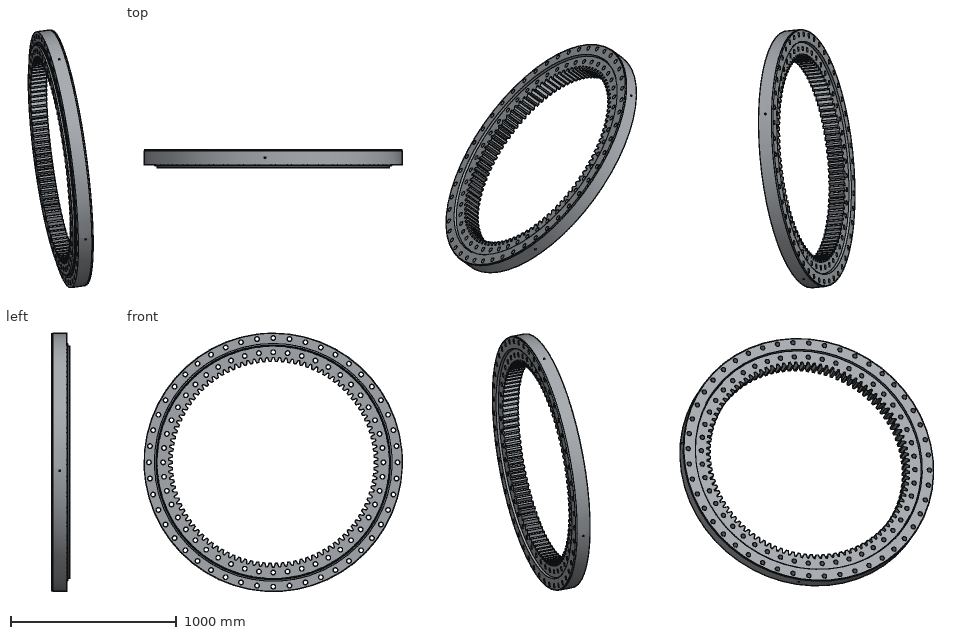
import cadquery as cq
import math

total_depth = 110.0
outer_front = 19.0
gear_depth = 97.0

outer_radius = 780.0
outer_bore = 707.0
rear_band_width = 10.0
rear_band_step = 3.0

gear_outer_radius = 702.0
tooth_count = 102
tip_radius = 608.0
root_radius = 632.0
gap_share_at_tip = 0.66
gap_share_at_root = 0.23

bolt_count = 48
bolt_hole_diameter = 27.0
outer_bolt_radius = 750.0
inner_bolt_radius = 665.0

grease_hole_count = 4
grease_hole_diameter = 10.0
grease_hole_y = 62.0
grease_hole_overrun = 15.0
grease_hole_offset = 180 / bolt_count

seal_outer_radius = 718.0
seal_tip_radius = 708.0
seal_front = 11.0
seal_shoulder = 14.0
seal_back = 27.0


def polar(radius, degrees):
    """Point in the XZ plane at a radius and an angle from +X towards +Z."""
    angle = math.radians(degrees)
    return radius * math.cos(angle), radius * math.sin(angle)


def front_plane():
    """Sketch plane at Y = 0 with local axes X and Z; negative distances extrude towards +Y."""
    return cq.Workplane("XZ")


def revolved(profile):
    """Ring about the Y axis from (y, radius) points."""
    return cq.Workplane("YZ").polyline(profile).close().revolve(360, (0, 0, 0), (1, 0, 0))


def bolt_holes(circle_radius):
    """Cutter for one circle of through holes."""
    return (
        front_plane()
        .polarArray(circle_radius, 0, 360, bolt_count)
        .circle(bolt_hole_diameter / 2)
        .extrude(-total_depth)
    )


def grease_hole(index):
    """Radial cutter through the wall of the outer ring, near its mid depth."""
    x, z = polar(1, grease_hole_offset + index * 360 / grease_hole_count)
    start = cq.Vector(x * gear_outer_radius, grease_hole_y, z * gear_outer_radius)
    length = outer_radius - gear_outer_radius + grease_hole_overrun
    return cq.Solid.makeCylinder(grease_hole_diameter / 2, length, start, cq.Vector(x, 0, z))


def make_outer_ring():
    band_radius = outer_radius - rear_band_step
    band_front = total_depth - rear_band_width
    ring = revolved(
        [
            (outer_front, seal_outer_radius),
            (outer_front, outer_radius),
            (band_front, outer_radius),
            (band_front, band_radius),
            (total_depth, band_radius),
            (total_depth, outer_bore),
            (seal_back, outer_bore),
            (seal_back, seal_outer_radius),
        ]
    )
    ring = ring.cut(bolt_holes(outer_bolt_radius))
    for index in range(grease_hole_count):
        ring = ring.cut(cq.Workplane(grease_hole(index)))
    return ring


def tooth_outline():
    """Closed gear bore outline; a tooth is centred on +X."""
    pitch = 360 / tooth_count
    half_tip = pitch * (1 - gap_share_at_tip) / 2
    half_gap = pitch * gap_share_at_root / 2
    outline = front_plane().moveTo(*polar(tip_radius, -half_tip))
    for tooth in range(tooth_count):
        centre = tooth * pitch
        gap_centre = centre + pitch / 2
        outline = (
            outline.threePointArc(polar(tip_radius, centre), polar(tip_radius, centre + half_tip))
            .lineTo(*polar(root_radius, gap_centre - half_gap))
            .threePointArc(polar(root_radius, gap_centre), polar(root_radius, gap_centre + half_gap))
            .lineTo(*polar(tip_radius, centre + pitch - half_tip))
        )
    return outline.close()


def make_gear_ring():
    ring = front_plane().circle(gear_outer_radius).extrude(-gear_depth)
    ring = ring.cut(tooth_outline().extrude(-gear_depth))
    return ring.cut(bolt_holes(inner_bolt_radius))


def make_seal():
    return revolved(
        [
            (seal_front, gear_outer_radius),
            (seal_front, seal_tip_radius),
            (seal_shoulder, seal_outer_radius),
            (seal_back, seal_outer_radius),
            (seal_back, gear_outer_radius),
        ]
    )


outer_ring = make_outer_ring()
gear_ring = make_gear_ring()
seal = make_seal()

result = cq.Compound.makeCompound([outer_ring.val(), gear_ring.val(), seal.val()])